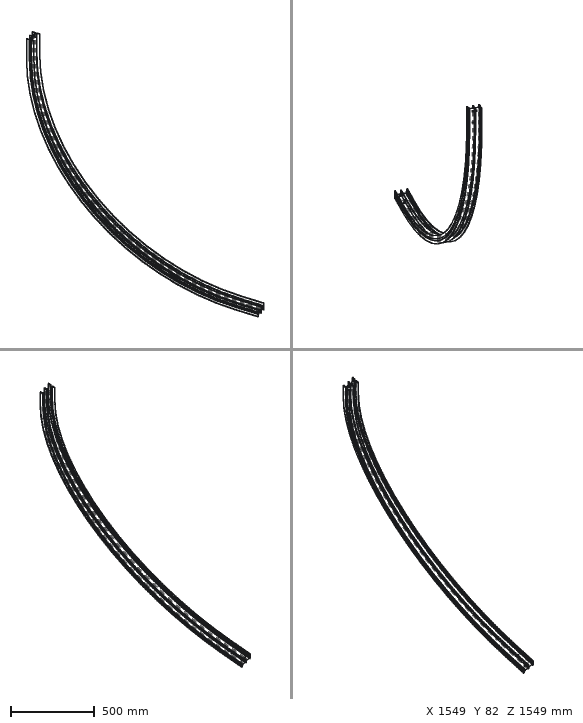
import cadquery as cq

overall_length = 1549.0
beam_width = 82.0
beam_depth = 50.0

leg_length = 150.0
bend_radius = overall_length - leg_length
bend_angle = 90.0

wall_thickness = 6.0
groove_width = 11.0
groove_depth = 5.0
groove_cover = 3.0
bulge_thickness = wall_thickness + groove_depth
bulge_depth = groove_width + 2 * groove_cover
web_start = 19.0
web_thickness = 5.0
fin_thickness = 5.4
fin_setback = 2.0

hole_diameter = 7.0
hole_offset = 12.0
end_hole_distance = 22.0
inner_hole_distance = 100.0
hole_places = [
    (end_hole_distance, hole_offset),
    (end_hole_distance, -hole_offset),
    (inner_hole_distance, hole_offset),
]


def beam_section():
    """Section with its first axis across the depth and its second along Y, outer side at zero."""
    middle = beam_depth / 2
    wall_y = (beam_width - wall_thickness) / 2
    bulge_y = (beam_width - bulge_thickness) / 2
    groove_y = (beam_width - groove_depth) / 2
    inner_width = beam_width - 2 * wall_thickness
    section = cq.Sketch()
    section = section.push([(middle, wall_y), (middle, -wall_y)]).rect(beam_depth, wall_thickness)
    section = section.reset().push([(middle, bulge_y), (middle, -bulge_y)])
    section = section.rect(bulge_depth, bulge_thickness)
    section = section.reset().push([(web_start + web_thickness / 2, 0)]).rect(web_thickness, inner_width)
    section = section.reset().push([(middle, 0)]).rect(beam_depth - 2 * fin_setback, fin_thickness)
    section = section.reset().push([(middle, groove_y), (middle, -groove_y)])
    section = section.rect(groove_width, groove_depth, mode="s")
    return section.reset().clean()


def upright_leg(section):
    """Leg along Z with its free end at the top."""
    return cq.Workplane("XY", origin=(0, 0, bend_radius)).placeSketch(section).extrude(leg_length)


def bend(section):
    """Quarter bend running down from the upright leg."""
    return (
        cq.Workplane("XY", origin=(0, 0, bend_radius))
        .placeSketch(section)
        .revolve(bend_angle, (bend_radius, 0), (bend_radius, -1))
    )


def web_holes():
    """Cutters along X that pass through the web of the upright leg only."""
    centres = [(y, overall_length - distance) for distance, y in hole_places]
    return (
        cq.Workplane("YZ", origin=(web_start, 0, 0))
        .pushPoints(centres)
        .circle(hole_diameter / 2)
        .extrude(web_thickness)
    )


def lying_copy(body):
    """Mirror the upright leg in the plane X = Z so that it lies along X."""
    return body.mirror((1, 0, -1))


profile = beam_section()
leg = upright_leg(profile).cut(web_holes())
result = bend(profile).union(leg).union(lying_copy(leg))